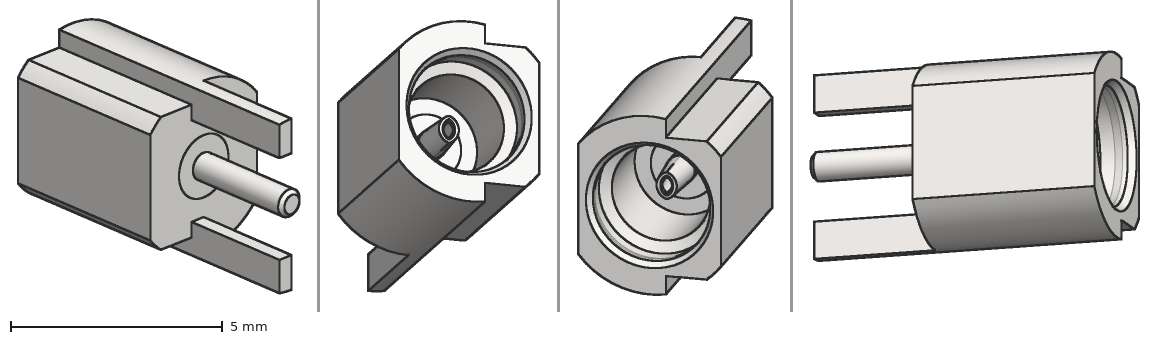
import cadquery as cq
import math

total_length = 7.5
body_length = 4.5
leg_end = 7.485
outer_diameter = 4.45
outer_radius = outer_diameter / 2
body_width = 3.5
flat_height = 3.45
leg_front = -0.4
leg_back = 0.0
leg_inner_height = 1.32

mouth_radius = 1.56
mouth_depth = 0.18
lip_radius = 1.44
lip_end = 0.31
groove_radius = 1.485
groove_start = 0.51
groove_end = 0.87
bore_radius = 1.21
bore_start = 1.01
bore_depth = 3.0

bead_radius = 0.81
pin_radius = 0.35
pin_chamfer = 0.105
socket_tip = 1.5
socket_length = 1.2
socket_hole_radius = 0.22
socket_lead_in = 0.06
socket_cone_depth = 0.22
socket_squeeze = 0.105
beam_overrun = 0.3
socket_root = socket_tip + socket_length


def x_cylinder(radius, start, end):
    """Cylinder on the connector axis from x = start to x = end."""
    return cq.Workplane("YZ", origin=(start, 0, 0)).circle(radius).extrude(end - start)


def x_cone(start_radius, end_radius, start, length):
    """Cone frustum on the connector axis, beginning at x = start."""
    cone = cq.Solid.makeCone(start_radius, end_radius, length, cq.Vector(start, 0, 0), cq.Vector(1, 0, 0))
    return cq.Workplane(cone)


def box_between(low, high):
    """Box spanning two opposite corners."""
    sizes = [b - a for a, b in zip(low, high)]
    return cq.Workplane("XY").box(*sizes, centered=False).translate(low)


def make_outer_shape():
    """Round bar cut to width, with flats at -Y and two legs left behind the body."""
    half_width = body_width / 2
    round_bar = x_cylinder(outer_radius, 0, total_length)
    wide_part = box_between((0, leg_front, -outer_radius), (body_length, half_width, outer_radius))
    flat_part = box_between((0, -half_width, -flat_height / 2), (body_length, leg_front, flat_height / 2))
    envelope = wide_part.union(flat_part)
    for side in (-1, 1):
        z_low, z_high = sorted((side * leg_inner_height, side * outer_radius))
        envelope = envelope.union(box_between((0, leg_front, z_low), (leg_end, leg_back, z_high)))
    return round_bar.intersect(envelope)


def make_bore():
    """Flared mouth, retaining lip, snap groove and main bore as one turned shape."""
    profile = [
        (0, 0),
        (0, mouth_radius),
        (mouth_depth, lip_radius),
        (lip_end, lip_radius),
        (groove_start, groove_radius),
        (groove_end, groove_radius),
        (bore_start, bore_radius),
        (bore_depth, bore_radius),
        (bore_depth, 0),
    ]
    return cq.Workplane("XY").polyline(profile).close().revolve(360, (0, 0, 0), (1, 0, 0))


def make_housing():
    bead_hole = x_cylinder(bead_radius, bore_depth, body_length)
    return make_outer_shape().cut(make_bore()).cut(bead_hole)


def make_socket_beam(side):
    """Half tube on one side of the slit, leaning inward toward its tip."""
    start = socket_tip - beam_overrun
    end = socket_root + beam_overrun
    tube = x_cylinder(pin_radius, start, end)
    tube = tube.cut(x_cylinder(socket_hole_radius, start, end))
    mouth = x_cone(socket_hole_radius + socket_lead_in, socket_hole_radius, socket_tip, socket_lead_in)
    tube = tube.cut(mouth)
    lean = math.degrees(math.atan2(socket_squeeze, socket_length))
    tube = tube.rotate((socket_root, 0, 0), (socket_root, 0, 1), side * lean)
    y_low, y_high = sorted((0, side * pin_radius))
    keep = box_between((socket_tip, y_low, -pin_radius), (socket_root, y_high, pin_radius))
    return tube.intersect(keep)


def make_contact():
    """Contact pin, its bead and the squeezed socket end."""
    pin = x_cylinder(pin_radius, socket_root, total_length).faces(">X").chamfer(pin_chamfer)
    contact = pin.union(x_cylinder(bead_radius, bore_depth, body_length))
    for side in (-1, 1):
        contact = contact.union(make_socket_beam(side))
    drill_point = x_cone(socket_hole_radius, 0, socket_root, socket_cone_depth)
    return contact.cut(drill_point)


housing = make_housing()
contact = make_contact()

result = cq.Compound.makeCompound([housing.val(), contact.val()])